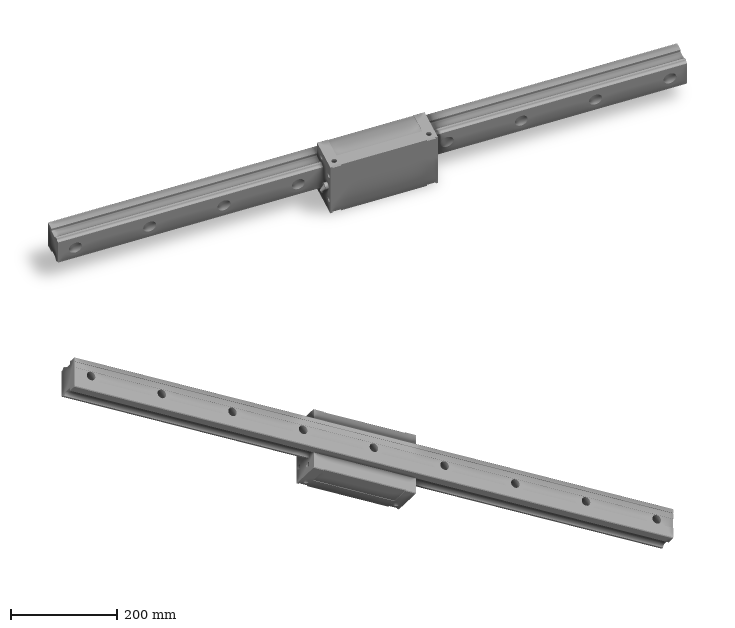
import cadquery as cq
import math

RAIL_LENGTH = 1270.0
RAIL_WIDTH = 63.0
RAIL_HEIGHT = 53.0
RAIL_BASE_HEIGHT = 19.0
NECK_FILLET = 2.0
RAIL_NECK_WIDTH = 51.0
RAIL_TOP_WIDTH = 55.0
RAIL_CHAMFER = 1.5
RAIL_CLEARANCE = 0.5
NECK_END = 35.0
HEAD_PEAK_START = 42.0
HEAD_PEAK_END = 46.0
RACEWAY_DEPTH = 1.2

BOLT_PITCH = 150.0
BOLT_COUNT = 9
BOLT_HOLE_DIA = 18.0
BOLT_HEAD_DIA = 26.0
BOLT_HEAD_DEPTH = 22.0

RELIEF_WIDTH = 19.2
RELIEF_DEPTH = 0.5
MARK_Z = 21.5
MARK_WIDTH = 1.5
MARK_DEPTH = 1.0

TOTAL_HEIGHT = 90.0
CARRIAGE_WIDTH = 126.0
CARRIAGE_BOTTOM = 20.0
CARRIAGE_CENTER_Y = 8.7
BLOCK_LENGTH = 173.0
CAP_LENGTH = 18.0
SEAL_THICKNESS = 4.0
SHOULDER_X = 65.5
SHOULDER_STEP = 1.0
BOTTOM_CHAMFER = 1.5
CAP_TOP_CHAMFER = 3.0

SCREW_HEAD_DIA = 10.4
SCREW_HOLE_DIA = 5.5
LOWER_SCREW_X = 44.0
LOWER_SCREW_Z = 45.5
UPPER_SCREW_X = 81.5
UPPER_SCREW_Z = 32.6

SIDE_PORT_DIA = 10.4
SIDE_PORT_DEPTH = 10.0
SIDE_PORT_X = 76.5

NIPPLE_X = 75.5
NIPPLE_SHANK_DIA = 8.7
NIPPLE_BASE_DIA = 14.0
NIPPLE_BASE_LENGTH = 7.0
NIPPLE_NECK_DIA = 10.0
NIPPLE_TIP_DIA = 5.5
NIPPLE_REACH = 14.0
NIPPLE_TILT = 45.0

BLOCK_FRONT_Y = CARRIAGE_CENTER_Y - BLOCK_LENGTH / 2
CAP_FRONT_Y = BLOCK_FRONT_Y - CAP_LENGTH
CARRIAGE_FRONT_Y = CAP_FRONT_Y - SEAL_THICKNESS


def prism_along_y(outline, start_y, length):
    """Extrude a closed (x, z) outline from start_y towards +Y."""
    plane = cq.Workplane("XZ", origin=(0, start_y, 0))
    return plane.polyline(outline).close().extrude(-length)


def mirrored_outline(upper_half):
    """Close an upper-half outline with its mirror image about Z = 0."""
    return upper_half + [(x, -z) for x, z in reversed(upper_half)]


def rod_along_y(x, z, dia, start_y, length):
    return cq.Workplane("XZ", origin=(x, start_y, z)).circle(dia / 2).extrude(-length)


def raceway_middle(start, end):
    """Deepest point of the shallow round raceway that spans a head flank from start to end."""
    run_x = end[0] - start[0]
    run_z = end[1] - start[1]
    flank_length = math.hypot(run_x, run_z)
    return (
        (start[0] + end[0]) / 2 + RACEWAY_DEPTH * run_z / flank_length,
        (start[1] + end[1]) / 2 - RACEWAY_DEPTH * run_x / flank_length,
    )


def rail_section():
    """Closed rail section at the -Y end: the upper half mirrored about Z = 0."""
    base_z = RAIL_WIDTH / 2
    neck_z = RAIL_NECK_WIDTH / 2
    neck_end = (NECK_END, neck_z)
    peak_start = (HEAD_PEAK_START, base_z)
    peak_end = (HEAD_PEAK_END, base_z)
    top_corner = (RAIL_HEIGHT, RAIL_TOP_WIDTH / 2)
    fillet_middle = NECK_FILLET * (1 - math.sqrt(0.5))
    return (
        cq.Workplane("XZ", origin=(0, -RAIL_LENGTH / 2, 0))
        .moveTo(0, 0)
        .lineTo(0, base_z - RAIL_CHAMFER)
        .lineTo(RAIL_CHAMFER, base_z)
        .lineTo(RAIL_BASE_HEIGHT, base_z)
        .lineTo(RAIL_BASE_HEIGHT, neck_z + NECK_FILLET)
        .threePointArc(
            (RAIL_BASE_HEIGHT + fillet_middle, neck_z + fillet_middle),
            (RAIL_BASE_HEIGHT + NECK_FILLET, neck_z),
        )
        .lineTo(*neck_end)
        .threePointArc(raceway_middle(neck_end, peak_start), peak_start)
        .lineTo(*peak_end)
        .threePointArc(raceway_middle(peak_end, top_corner), top_corner)
        .lineTo(RAIL_HEIGHT, 0)
        .mirrorX()
    )


def plain_rail():
    return rail_section().extrude(-RAIL_LENGTH)


def rail_opening():
    """Clearance channel that the carriage parts leave around the rail."""
    return rail_section().offset2D(RAIL_CLEARANCE, "intersection").extrude(-RAIL_LENGTH)


def make_rail():
    """Rail with bottom relief, marking groove on the +Z side and counterbored bolt holes."""
    rail = plain_rail()
    relief = cq.Workplane("XY").box(2 * RELIEF_DEPTH, RAIL_LENGTH, RELIEF_WIDTH)
    mark = cq.Workplane("XY", origin=(0, 0, MARK_Z)).box(2 * MARK_DEPTH, RAIL_LENGTH, MARK_WIDTH)
    rail = rail.cut(relief).cut(mark)
    bolt_holes = (
        cq.Workplane("YZ", origin=(RAIL_HEIGHT, 0, 0))
        .rarray(BOLT_PITCH, 1, BOLT_COUNT, 1)
    )
    shanks = bolt_holes.circle(BOLT_HOLE_DIA / 2).extrude(-RAIL_HEIGHT)
    heads = bolt_holes.circle(BOLT_HEAD_DIA / 2).extrude(-BOLT_HEAD_DEPTH)
    return rail.cut(shanks).cut(heads)


def make_block():
    """Carriage block, wider above the shoulder at SHOULDER_X."""
    lower_half_width = CARRIAGE_WIDTH / 2 - SHOULDER_STEP
    outline = mirrored_outline([
        (CARRIAGE_BOTTOM, lower_half_width - BOTTOM_CHAMFER),
        (CARRIAGE_BOTTOM + BOTTOM_CHAMFER, lower_half_width),
        (SHOULDER_X, lower_half_width),
        (SHOULDER_X, CARRIAGE_WIDTH / 2),
        (TOTAL_HEIGHT, CARRIAGE_WIDTH / 2),
    ])
    return prism_along_y(outline, BLOCK_FRONT_Y, BLOCK_LENGTH).cut(rail_opening())


def end_plate(start_y, length, upper_corner):
    """Plate with the carriage section, the given upper corner outline and the rail opening."""
    outline = mirrored_outline([
        (CARRIAGE_BOTTOM, CARRIAGE_WIDTH / 2 - BOTTOM_CHAMFER),
        (CARRIAGE_BOTTOM + BOTTOM_CHAMFER, CARRIAGE_WIDTH / 2),
        *upper_corner,
    ])
    return prism_along_y(outline, start_y, length).cut(rail_opening())


def make_front_end():
    """End cap and end seal of the -Y end, with screw holes and side grease ports."""
    half_width = CARRIAGE_WIDTH / 2
    chamfered_corner = [
        (TOTAL_HEIGHT - CAP_TOP_CHAMFER, half_width),
        (TOTAL_HEIGHT, half_width - CAP_TOP_CHAMFER),
    ]
    square_corner = [(TOTAL_HEIGHT, half_width)]
    cap = end_plate(CAP_FRONT_Y, CAP_LENGTH, chamfered_corner)
    seal = end_plate(CARRIAGE_FRONT_Y, SEAL_THICKNESS, square_corner)

    for side in (-1, 1):
        for x, z in ((LOWER_SCREW_X, LOWER_SCREW_Z), (UPPER_SCREW_X, UPPER_SCREW_Z)):
            head_recess = rod_along_y(x, side * z, SCREW_HEAD_DIA, CARRIAGE_FRONT_Y, SEAL_THICKNESS)
            screw_hole = rod_along_y(x, side * z, SCREW_HOLE_DIA, CAP_FRONT_Y, CAP_LENGTH)
            seal = seal.cut(head_recess)
            cap = cap.cut(screw_hole)
        port_mouth = (SIDE_PORT_X, BLOCK_FRONT_Y - CAP_LENGTH / 2, side * half_width)
        port = (
            cq.Workplane("XY", origin=port_mouth)
            .circle(SIDE_PORT_DIA / 2)
            .extrude(-side * SIDE_PORT_DEPTH)
        )
        cap = cap.cut(port)
    return cap, seal


def make_nipple():
    """Nipple with a shank through the seal, a round base and a spout tilted down and outwards."""
    shank = rod_along_y(NIPPLE_X, 0, NIPPLE_SHANK_DIA, CARRIAGE_FRONT_Y, SEAL_THICKNESS)
    base_start = CARRIAGE_FRONT_Y - NIPPLE_BASE_LENGTH
    base = rod_along_y(NIPPLE_X, 0, NIPPLE_BASE_DIA, base_start, NIPPLE_BASE_LENGTH)
    tilt = math.radians(NIPPLE_TILT)
    direction = cq.Vector(0, -math.cos(tilt), -math.sin(tilt))
    root = cq.Vector(NIPPLE_X, CARRIAGE_FRONT_Y - NIPPLE_BASE_LENGTH / 2, 0)
    spout = cq.Solid.makeCone(NIPPLE_NECK_DIA / 2, NIPPLE_TIP_DIA / 2, NIPPLE_REACH, root, direction)
    return shank.union(base).union(cq.Workplane(obj=spout))


rail = make_rail()
block = make_block()
front_cap, front_seal = make_front_end()
back_cap, back_seal = (
    part.mirror("XZ", (0, CARRIAGE_CENTER_Y, 0)) for part in (front_cap, front_seal)
)
nipple = make_nipple()
front_seal = front_seal.cut(nipple)

result = cq.Compound.makeCompound([
    rail.val(),
    block.val(),
    front_cap.val(),
    back_cap.val(),
    front_seal.val(),
    back_seal.val(),
    nipple.val(),
])